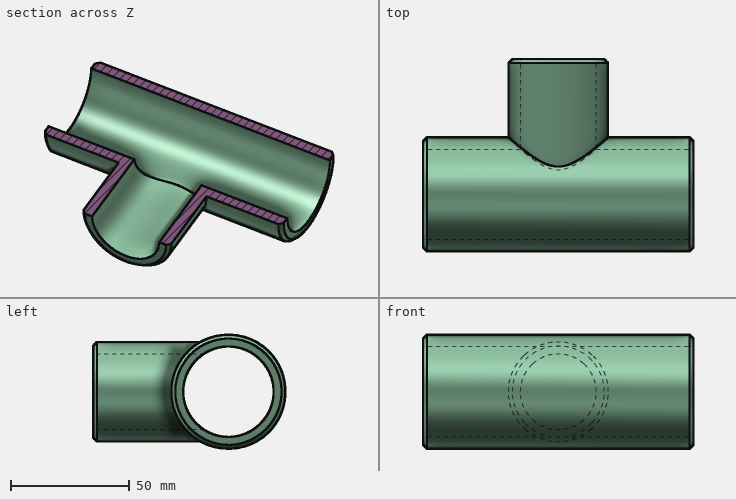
import cadquery as cq

run_diameter = 48.26
run_length = 114.3
branch_diameter = 42.164
branch_reach = run_length / 2
wall = 5.08

bevel = wall / 3


def cylinder_along_x(diameter):
    """Cylinder over the full run length, centred on the origin."""
    return cq.Workplane("YZ").circle(diameter / 2).extrude(run_length / 2, both=True)


def cylinder_along_y(diameter):
    """Cylinder from the run axis out to the branch end face."""
    return cq.Workplane("XZ").circle(diameter / 2).extrude(-branch_reach)


run_outside = cylinder_along_x(run_diameter).faces("|X").edges().chamfer(bevel)
branch_outside = cylinder_along_y(branch_diameter).faces(">Y").edges().chamfer(bevel)

run_bore = cylinder_along_x(run_diameter - 2 * wall)
branch_bore = cylinder_along_y(branch_diameter - 2 * wall)

result = run_outside.union(branch_outside).cut(run_bore).cut(branch_bore)